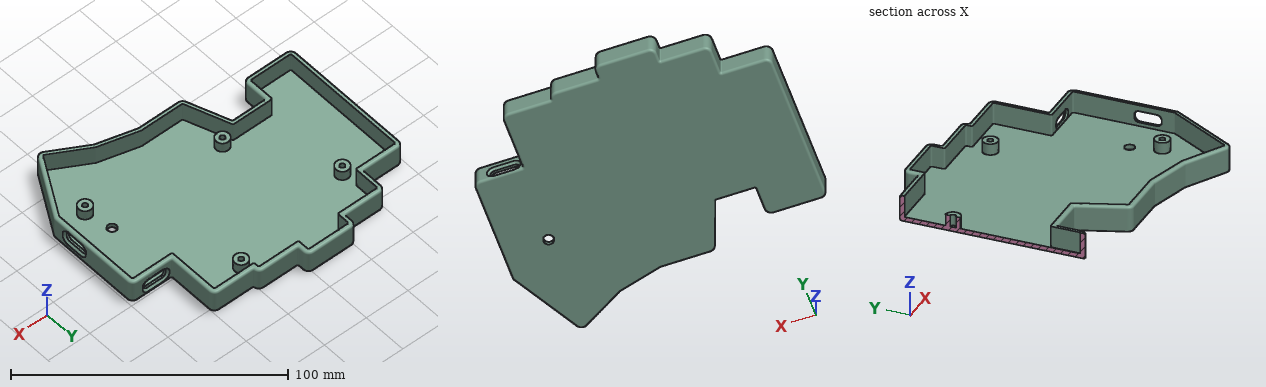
import cadquery as cq
import math

case_height = 10.56
floor_thickness = 2.0
wall = 2.0
rim_fillet = 1.0

key_pitch = 19.05
column_tops = [57.04, 68.98, 74.99, 69.55, 66.95, 43.9]
plate_width = key_pitch * len(column_tops)
notch_left_x = key_pitch
notch_right_x = 2 * key_pitch
notch_top_y = 12.0
thumb_left_x = 45.25
thumb_bottom_y = -7.61
thumb_bend_x = 64.8
thumb_key_length = 18.4
thumb_slope = 15
tip_slope = 30
right_wall_bottom_y = 3.95

plate_clearance = 0.13
cavity_corner_radius = 0.6
outer_concave_radius = 0.5

standoff_diameter = 6.0
standoff_hole_diameter = 2.2
standoff_height = 4.5
standoff_centers = [(19.05, 50.02), (76.2, 59.92), (42.62, 11.3), (101.5, 3.3)]
reset_hole_diameter = 4.0
reset_hole_center = (98.7, 14.9)

slot_corner_radius = 1.95
slot_mouth_chamfer = 1.0
back_slot_length = 10.9
back_slot_height = 4.3
back_slot_x = plate_width - key_pitch / 2
back_slot_z = 4.2
side_slot_length = 10.8
side_slot_height = 4.6
side_slot_y = 14.5
side_slot_z = 5.8
selection_margin = 0.1


def tip_corner(bend):
    """Corner where the steep thumb edge meets the edge square to it from the right wall."""
    angle = math.radians(tip_slope)
    dx = plate_width - bend[0]
    dy = right_wall_bottom_y - bend[1]
    run = dx * math.cos(angle) - dy * math.sin(angle)
    return (bend[0] + run * math.cos(angle), bend[1] - run * math.sin(angle))


def plate_corners():
    points = [(0, 0)]
    for column, top in enumerate(column_tops):
        points.append((column * key_pitch, top))
        points.append(((column + 1) * key_pitch, top))
    points.append((plate_width, right_wall_bottom_y))
    slope = math.radians(thumb_slope)
    second_bend = (
        thumb_bend_x + thumb_key_length * math.cos(slope),
        thumb_bottom_y - thumb_key_length * math.sin(slope),
    )
    points.append(tip_corner(second_bend))
    points.append(second_bend)
    points.append((thumb_bend_x, thumb_bottom_y))
    points.append((thumb_left_x, thumb_bottom_y))
    points.append((notch_right_x, notch_top_y))
    points.append((notch_left_x, notch_top_y))
    points.append((notch_left_x, 0))
    return points


def cavity_outline():
    """Sharp-cornered outline of the cavity: the plate outline grown by its clearance."""
    plate = cq.Workplane("XY").polyline(plate_corners()).close()
    return plate.offset2D(plate_clearance, "intersection")


def make_body():
    """Solid block around the cavity, with arcs at its corners and rounded rims above and below."""
    core = cavity_outline().offset2D(-cavity_corner_radius)
    grown = core.offset2D(cavity_corner_radius + wall + outer_concave_radius)
    body = grown.offset2D(-outer_concave_radius).extrude(case_height)
    return body.faces("|Z").edges().fillet(rim_fillet)


def make_cavity():
    cavity = cavity_outline().extrude(case_height - floor_thickness)
    return cavity.edges("|Z").fillet(cavity_corner_radius).translate((0, 0, floor_thickness))


def make_standoffs():
    base = cq.Workplane("XY").workplane(offset=floor_thickness).pushPoints(standoff_centers)
    return base.circle(standoff_diameter / 2).circle(standoff_hole_diameter / 2).extrude(standoff_height)


def make_reset_hole():
    return cq.Workplane("XY").center(*reset_hole_center).circle(reset_hole_diameter / 2).extrude(case_height)


def cut_slot(body, center, size, wall_axis):
    """Cut a slot centered on an outer wall face and chamfer the edge of its mouth."""
    slot = cq.Workplane("XY").box(*size).edges("|" + wall_axis).fillet(slot_corner_radius)
    mouth_size = [0 if axis == wall_axis else side for axis, side in zip("XYZ", size)]
    low = [c - side / 2 - selection_margin for c, side in zip(center, mouth_size)]
    high = [c + side / 2 + selection_margin for c, side in zip(center, mouth_size)]
    mouth = cq.selectors.BoxSelector(low, high, boundingbox=True)
    return body.cut(slot.translate(center)).edges(mouth).chamfer(slot_mouth_chamfer)


def cut_back_slot(body):
    center = (back_slot_x, column_tops[-1] + plate_clearance + wall, back_slot_z)
    return cut_slot(body, center, (back_slot_length, 2 * wall, back_slot_height), "Y")


def cut_side_slot(body):
    center = (plate_width + plate_clearance + wall, side_slot_y, side_slot_z)
    return cut_slot(body, center, (2 * wall, side_slot_length, side_slot_height), "X")


result = cut_side_slot(cut_back_slot(make_body()))
result = result.cut(make_cavity()).union(make_standoffs()).cut(make_reset_hole())